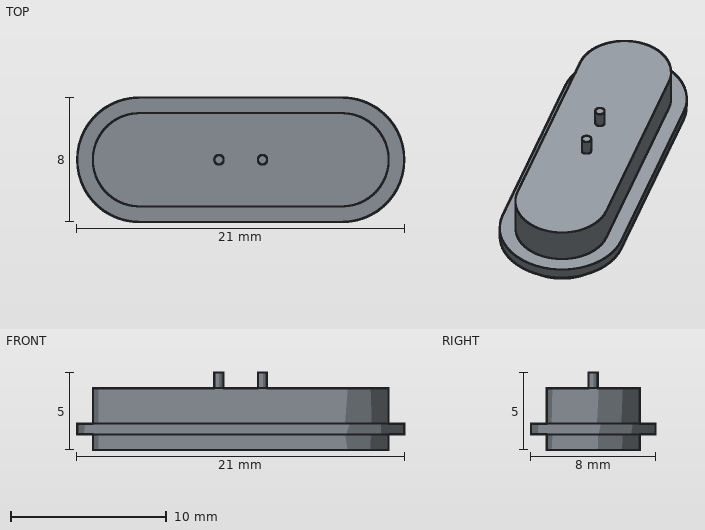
import cadquery as cq

flange_length = 21.0
flange_width = 8.0
flange_thickness = 0.7
flange_bottom = 1.0

rim = 1.0
body_length = flange_length - 2 * rim
body_width = flange_width - 2 * rim
body_height = 4.0

total_height = 5.0
pin_diameter = 0.6
pin_spacing = 2.8
pin_height = total_height - body_height


def rounded_plate(length, width, bottom, height):
    """Plate with full-round ends, long side along X."""
    return cq.Workplane("XY").workplane(offset=bottom).slot2D(length, width).extrude(height)


body = rounded_plate(body_length, body_width, 0, body_height)
flange = rounded_plate(flange_length, flange_width, flange_bottom, flange_thickness)
pins = (
    cq.Workplane("XY")
    .workplane(offset=body_height)
    .rarray(pin_spacing, 0.2, 2, 1)
    .circle(pin_diameter / 2)
    .extrude(pin_height)
)

result = body.union(flange).union(pins)